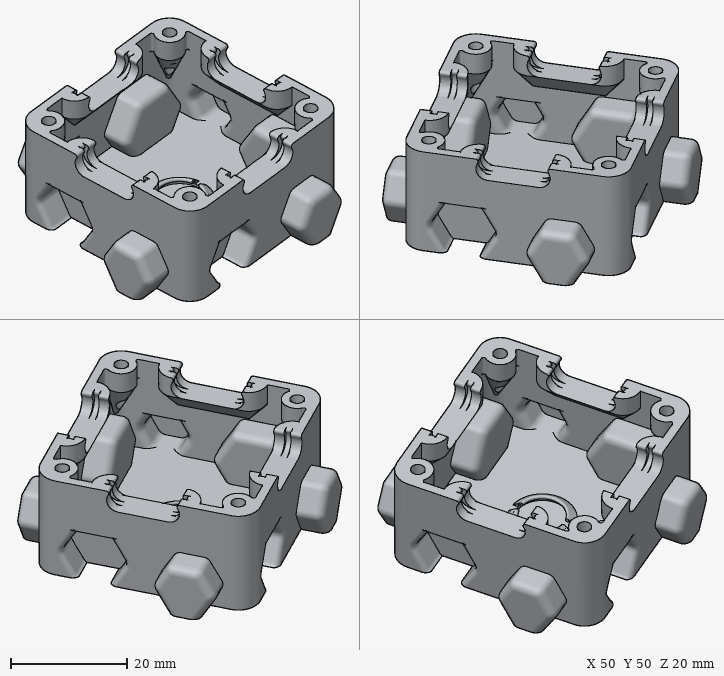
import cadquery as cq
import math

SIDE = 40.0
HEIGHT = 20.0
CORNER_RADIUS = 4.0
WALL = 1.65
FLOOR = 1.25
HALF = SIDE / 2
INNER_HALF = HALF - WALL

POST_OFFSET = HALF - CORNER_RADIUS
POST_RADIUS = 2.75
POST_BLEND = 0.4
HOLE_MOUTH_DIAMETER = 2.5
HOLE_DIAMETER = 1.75
HOLE_TAPER_DEPTH = 4.0
HOLE_BOTTOM = 9.0
POST_TIP_SHIFT = 1.5
POST_TIP_RADIUS = 0.4
POST_TIP_Z = 8.5

NOTCH_DEPTH = 4.0
NOTCH_FLOOR_HALF = 4.5
NOTCH_TOP_HALF = 6.7
NOTCH_LIP = 0.5
GROOVE_DEPTH = 0.85
GROOVE_WIDTH = 1.15
GROOVE_INSET = 2.0
PAD_THICKNESS = 5.0
PAD_HALF = 9.8
PAD_TAPER_HEIGHT = 4.0
PAD_TIP_RADIUS = 0.05
RIM_Z = HEIGHT - NOTCH_DEPTH
PAD_RADIUS = PAD_THICKNESS - WALL

HEX_OFFSET = 9.0
HEX_Z = 5.0
HEX_ROUND = 1.5
HEX_SHELL = 1.5
HEX_REACH = 5.0
PLUG_APOTHEM = 5.0
HOLLOW_APOTHEM = PLUG_APOTHEM - FLOOR
SOCKET_CLEARANCE = 0.2
SOCKET_APOTHEM = PLUG_APOTHEM + SOCKET_CLEARANCE
SOCKET_DEPTH = HEX_REACH + SOCKET_CLEARANCE
HOUSING_APOTHEM = SOCKET_APOTHEM + HEX_SHELL
HOUSING_DEPTH = SOCKET_DEPTH + WALL
SOCKET_LEAD_IN = 1.0
HOLLOW_LEAD_IN = 1.5

RING_BASE_RADIUS = 6.05
RING_TOP_RADIUS = 4.7
RING_LIP_RADIUS = 4.15
RING_SEAT_RADIUS = 5.0
RING_HEIGHT = 1.0
RING_LIP_HEIGHT = 0.5
RING_GAP = 1.5
SEAT_Z = 0.7


def box_between(x0, x1, y0, y1, z0, z1):
    return cq.Workplane("XY").box(x1 - x0, y1 - y0, z1 - z0, centered=False).translate((x0, y0, z0))


def rounded_block(half, radius, z0, z1):
    block = box_between(-half, half, -half, half, z0, z1)
    return block.edges("|Z").fillet(radius)


def on_four_sides(shape):
    """Repeat a feature of the -Y side on all four sides."""
    copies = shape
    for turn in range(1, 4):
        copies = copies.union(shape.rotate((0, 0, 0), (0, 0, 1), 90 * turn))
    return copies


def tapered_hex(x, apothem, y_start, y_end, point_up):
    """Prism along Y with five hexagon sides; the sixth is replaced by a point made by its neighbours."""
    vertex = apothem / math.cos(math.pi / 6)
    up = 1 if point_up else -1
    outline = [
        (-vertex, 0),
        (0, up * 2 * apothem),
        (vertex, 0),
        (vertex / 2, -up * apothem),
        (-vertex / 2, -up * apothem),
    ]
    prism = cq.Workplane("XZ").polyline(outline).close().extrude(y_start - y_end)
    return prism.translate((x, y_start, HEX_Z))


def hex_boss(x, apothem, y_root, y_end):
    """Solid hexagonal boss with every free edge rounded, cut off level with the bottom of the box."""
    boss = tapered_hex(x, apothem, y_root, y_end, False)
    end_side = "<Y" if y_end < y_root else ">Y"
    edges = boss.edges("|Y").vals() + boss.faces(end_side).edges().vals()
    boss = boss.newObject(edges).fillet(HEX_ROUND)
    return boss.intersect(box_between(-SIDE, SIDE, -SIDE, SIDE, 0, HEIGHT))


def hex_pocket(x, apothem, y_mouth, y_end, lead_in, z_bottom):
    """Cutter for a hexagonal pocket with a flat roof and a rounded mouth on all sides but the roof."""
    prism = tapered_hex(x, apothem, y_mouth, y_end, True).edges("|Y").fillet(HEX_ROUND)
    outward = -1 if y_end > y_mouth else 1
    y_near, y_far = sorted((y_mouth, y_mouth + outward))
    plate = box_between(-SIDE, SIDE, y_near, y_far, -SIDE, SIDE)
    cutter = plate.union(prism)
    mouth = cq.selectors.BoxSelector((-HALF, y_mouth - 0.01, -HALF), (HALF, y_mouth + 0.01, HALF))
    cutter = cutter.edges(mouth).fillet(lead_in)
    reach = apothem / math.cos(math.pi / 6) + lead_in
    return cutter.intersect(box_between(x - reach, x + reach, -SIDE, SIDE, z_bottom, HEX_Z + apothem))


def corner_posts():
    """Posts at the rim blended into the walls, each on an oblique cone leaning into its corner."""
    rim_cavity = rounded_block(INNER_HALF, CORNER_RADIUS - WALL, RIM_Z, HEIGHT)
    places = [(x, y) for x in (-POST_OFFSET, POST_OFFSET) for y in (-POST_OFFSET, POST_OFFSET)]
    posts = cq.Workplane("XY", origin=(0, 0, RIM_Z)).pushPoints(places).circle(POST_RADIUS).extrude(NOTCH_DEPTH)
    open_rim = rim_cavity.cut(posts)
    open_rim = open_rim.edges("|Z").fillet(POST_BLEND)
    posts = rim_cavity.cut(open_rim)

    for x, y in places:
        support = (
            cq.Workplane("XY", origin=(x, y, RIM_Z))
            .circle(POST_RADIUS)
            .workplane(offset=POST_TIP_Z - RIM_Z)
            .center(math.copysign(POST_TIP_SHIFT, x), math.copysign(POST_TIP_SHIFT, y))
            .circle(POST_TIP_RADIUS)
            .loft()
        )
        posts = posts.union(support)
    return posts


def screw_holes():
    mouth = HOLE_MOUTH_DIAMETER / 2
    bore = HOLE_DIAMETER / 2
    taper_z = HEIGHT - HOLE_TAPER_DEPTH
    profile = [(0, HEIGHT), (mouth, HEIGHT), (bore, taper_z), (bore, HOLE_BOTTOM), (0, HOLE_BOTTOM)]
    hole = cq.Workplane("XZ").polyline(profile).close().revolve(360, (0, 0), (0, 1))
    return on_four_sides(hole.translate((POST_OFFSET, -POST_OFFSET, 0)))


def rim_pad():
    """Thick part of the -Y rim with round ends and a sloped underside, clipped to the box outline."""
    rim = cq.Workplane("XY", origin=(0, -INNER_HALF, RIM_Z))
    pad = rim.slot2D(2 * PAD_HALF, 2 * PAD_RADIUS).extrude(NOTCH_DEPTH)
    slope = math.degrees(math.atan2(PAD_RADIUS - PAD_TIP_RADIUS, PAD_TAPER_HEIGHT))
    underside = rim.slot2D(2 * PAD_HALF, 2 * PAD_RADIUS).extrude(-PAD_TAPER_HEIGHT, taper=slope)
    return pad.union(underside).intersect(rounded_block(HALF, CORNER_RADIUS, 0, HEIGHT))


def notch_cutter(widening, y_start, width):
    """Opening with a flat floor, round sides that curl inward and a rounded lip at the rim."""
    floor_half = NOTCH_FLOOR_HALF + widening
    top_half = NOTCH_TOP_HALF + widening
    spread = top_half - floor_half
    radius = (spread**2 + NOTCH_DEPTH * (NOTCH_DEPTH - 2 * NOTCH_LIP)) / (2 * NOTCH_DEPTH)
    arc_z = RIM_Z + radius
    lip_z = HEIGHT - NOTCH_LIP
    lean = math.atan2(lip_z - arc_z, spread)
    join_x = floor_half + radius * math.cos(lean)
    join_z = arc_z + radius * math.sin(lean)
    side_x = floor_half + radius
    lip_angle = (math.pi / 2 + math.pi + lean) / 2
    lip_x = top_half + NOTCH_LIP * math.cos(lip_angle)
    lip_mid_z = lip_z + NOTCH_LIP * math.sin(lip_angle)
    return (
        cq.Workplane("XZ", origin=(0, y_start, 0))
        .moveTo(-floor_half, RIM_Z)
        .lineTo(floor_half, RIM_Z)
        .threePointArc((side_x, arc_z), (join_x, join_z))
        .threePointArc((lip_x, lip_mid_z), (top_half, HEIGHT))
        .lineTo(-top_half, HEIGHT)
        .threePointArc((-lip_x, lip_mid_z), (-join_x, join_z))
        .threePointArc((-side_x, arc_z), (-floor_half, RIM_Z))
        .close()
        .extrude(-width)
    )


def retaining_ring():
    """Two half rings with a sloped outside and an inner lip over the round seat."""
    top_z = FLOOR + RING_HEIGHT
    lip_z = top_z - RING_LIP_HEIGHT
    lip_mid_z = top_z - RING_LIP_HEIGHT / 2
    ring = (
        cq.Workplane("XZ")
        .moveTo(RING_SEAT_RADIUS, FLOOR)
        .lineTo(RING_BASE_RADIUS, FLOOR)
        .lineTo(RING_TOP_RADIUS, top_z)
        .threePointArc((RING_LIP_RADIUS, lip_mid_z), (RING_TOP_RADIUS, lip_z))
        .lineTo(RING_SEAT_RADIUS, lip_z)
        .close()
        .revolve(360, (0, 0), (0, 1))
    )
    gap = box_between(-RING_GAP / 2, RING_GAP / 2, -HALF, HALF, FLOOR, HEIGHT)
    return ring.cut(gap)


outside = rounded_block(HALF, CORNER_RADIUS, 0, HEIGHT)
cavity = rounded_block(INNER_HALF, CORNER_RADIUS - WALL, FLOOR, HEIGHT)
square_block = box_between(-HALF, HALF, -HALF, HALF, 0, HEIGHT)

housing = hex_boss(-HEX_OFFSET, HOUSING_APOTHEM, -HALF, -HALF + HOUSING_DEPTH)
socket = hex_pocket(-HEX_OFFSET, SOCKET_APOTHEM, -HALF, -HALF + SOCKET_DEPTH, SOCKET_LEAD_IN, 0)
shell = square_block.cut(cavity).union(on_four_sides(housing))
shell = shell.cut(on_four_sides(socket)).intersect(outside)

plug = hex_boss(HEX_OFFSET, PLUG_APOTHEM, -INNER_HALF, -HALF - HEX_REACH)
hollow_end = -HALF - HEX_REACH + WALL
hollow = hex_pocket(HEX_OFFSET, HOLLOW_APOTHEM, -INNER_HALF, hollow_end, HOLLOW_LEAD_IN, FLOOR)
shell = shell.union(on_four_sides(plug)).cut(on_four_sides(hollow))

posts = corner_posts().intersect(outside).cut(screw_holes())
shell = shell.union(posts).union(on_four_sides(rim_pad()))

notch = notch_cutter(0, -HALF, PAD_THICKNESS)
groove = notch_cutter(GROOVE_DEPTH, -HALF + GROOVE_INSET, GROOVE_WIDTH)
shell = shell.cut(on_four_sides(notch.union(groove)))

seat = cq.Workplane("XY", origin=(0, 0, SEAT_Z)).circle(RING_SEAT_RADIUS).extrude(FLOOR - SEAT_Z)
result = shell.cut(seat).union(retaining_ring())